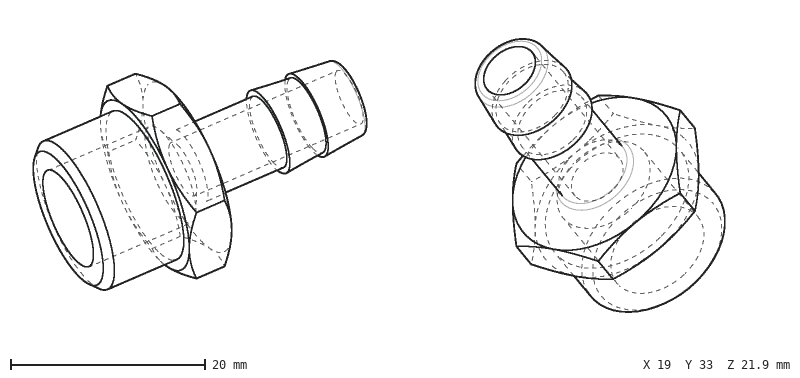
import cadquery as cq
import math

total_length = 33.0

spigot_diameter = 16.66
spigot_length = 9.0
spigot_chamfer = 0.85

hex_across_flats = 19.0
hex_thickness = 5.0
hex_chamfer_angle = 30.0
hex_corner_diameter = hex_across_flats / math.cos(math.radians(30))

tail_diameter = 8.0
root_fillet = 0.5
barb_diameter = 9.3
barb_taper = 0.1
tip_barb_length = 5.0
second_barb_length = 4.5
tip_fillet = 0.5

large_bore_diameter = 10.8
small_bore_diameter = 6.0
large_bore_depth = 12.0
drill_point_angle = 118.0

hex_end = spigot_length + hex_thickness
tip_barb_start = total_length - tip_barb_length
second_barb_start = tip_barb_start - second_barb_length


def revolve_about_y(profile):
    """Close a half profile of (radius, distance) and turn it about the Y axis."""
    return profile.close().revolve(360, (0, 0, 0), (0, 1, 0))


def make_spigot():
    radius = spigot_diameter / 2
    return revolve_about_y(
        cq.Workplane("XY")
        .lineTo(radius - spigot_chamfer, 0)
        .lineTo(radius, spigot_chamfer)
        .lineTo(radius, spigot_length)
        .lineTo(0, spigot_length)
    )


def make_hexagon():
    """Hexagon with corners on Z, both faces chamfered from the inscribed circle."""
    prism = (
        cq.Workplane("XZ")
        .polygon(6, hex_corner_diameter)
        .extrude(-hex_thickness)
        .rotate((0, 0, 0), (0, 1, 0), 90)
        .translate((0, spigot_length, 0))
    )
    flat_radius = hex_across_flats / 2
    corner_radius = hex_corner_diameter / 2
    chamfer_length = (corner_radius - flat_radius) * math.tan(math.radians(hex_chamfer_angle))
    envelope = revolve_about_y(
        cq.Workplane("XY")
        .moveTo(0, spigot_length)
        .lineTo(flat_radius, spigot_length)
        .lineTo(corner_radius, spigot_length + chamfer_length)
        .lineTo(corner_radius, hex_end - chamfer_length)
        .lineTo(flat_radius, hex_end)
        .lineTo(0, hex_end)
    )
    return prism.intersect(envelope)


def make_hose_tail():
    """Plain tail with a filleted root and two tapered barbs, rounded at its free end."""
    tail_radius = tail_diameter / 2
    barb_radius = barb_diameter / 2
    tip_radius = barb_radius - barb_taper * tip_barb_length
    second_barb_small_radius = barb_radius - barb_taper * second_barb_length
    fillet_end = hex_end + root_fillet
    tail = revolve_about_y(
        cq.Workplane("XY")
        .moveTo(0, hex_end)
        .lineTo(tail_radius + root_fillet, hex_end)
        .radiusArc((tail_radius, fillet_end), root_fillet)
        .lineTo(tail_radius, second_barb_start)
        .lineTo(barb_radius, second_barb_start)
        .lineTo(second_barb_small_radius, tip_barb_start)
        .lineTo(barb_radius, tip_barb_start)
        .lineTo(tip_radius, total_length)
        .lineTo(0, total_length)
    )
    return tail.faces(">Y").edges().fillet(tip_fillet)


def make_bore():
    """Stepped through bore; the wide part ends in a drill point cone."""
    large_radius = large_bore_diameter / 2
    small_radius = small_bore_diameter / 2
    cone_length = (large_radius - small_radius) / math.tan(math.radians(drill_point_angle / 2))
    return revolve_about_y(
        cq.Workplane("XY")
        .lineTo(large_radius, 0)
        .lineTo(large_radius, large_bore_depth)
        .lineTo(small_radius, large_bore_depth + cone_length)
        .lineTo(small_radius, total_length)
        .lineTo(0, total_length)
    )


result = make_spigot().union(make_hexagon()).union(make_hose_tail()).cut(make_bore())